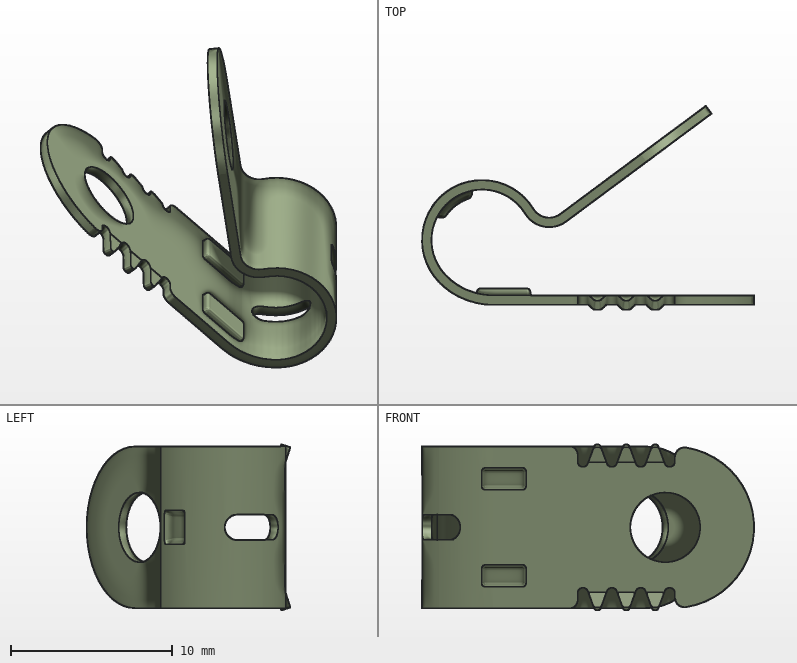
import cadquery as cq
import math


thickness = 0.6
width = 10.0
end_radius = width / 2
total_length = 20.52

loop_radius = 3.71
heel_radius = 4.65
heel_angle = 224.0
heel_step = heel_radius - loop_radius
loop_x = loop_radius
loop_y = heel_radius + heel_step * math.sin(math.radians(heel_angle))
heel_x = loop_x - heel_step * math.cos(math.radians(heel_angle))
heel_y = heel_radius

bend_radius = 1.15
bend_angle = 31.5
flap_slope = 36.6
flap_straight = 6.2
bend_distance = loop_radius + bend_radius
bend_x = loop_x + bend_distance * math.cos(math.radians(bend_angle))
bend_y = loop_y + bend_distance * math.sin(math.radians(bend_angle))

hole_diameter = 4.3
hole_setback = 0.5

tooth_count = 3
tooth_pitch = 1.79
first_tooth_x = 10.83
tooth_flank_angle = 20.0
tooth_bend_angle = 18.0
tooth_bend_z = 4.02
tooth_tip_radius = 0.2
notch_radius = 0.33
notch_center_z = 4.06
notch_left_fillet = 0.5
notch_right_fillet = 0.6

slot_width = 1.55
slot_upper_angle = 196.0
slot_lower_angle = 234.6
slot_cut_inner = 1.65
slot_cut_outer = 5.34

emboss_depth = 0.43
emboss_growth = 0.3
emboss_corner = 0.25
pad_taper = 10.0
pad_round = 0.25
pocket_taper = 23.0
pocket_round = 0.16
foot_emboss_length = 2.77
foot_emboss_width = 1.37
foot_emboss_x = 5.05
foot_emboss_z = 3.0
loop_emboss_length = 2.13
loop_emboss_width = 2.1
loop_emboss_angle = 127.0
loop_emboss_round = 0.4


def on_circle(center_x, center_y, radius, degrees):
    """Point on a circle at a given angle."""
    angle = math.radians(degrees)
    return (center_x + radius * math.cos(angle), center_y + radius * math.sin(angle))


def band(center_x, center_y, outer, inner, start, end):
    """Curved strip of sheet over the full width, between two angles."""
    middle = (start + end) / 2
    return (
        cq.Workplane("XY", origin=(0, 0, -width / 2))
        .moveTo(*on_circle(center_x, center_y, outer, start))
        .threePointArc(
            on_circle(center_x, center_y, outer, middle),
            on_circle(center_x, center_y, outer, end),
        )
        .lineTo(*on_circle(center_x, center_y, inner, end))
        .threePointArc(
            on_circle(center_x, center_y, inner, middle),
            on_circle(center_x, center_y, inner, start),
        )
        .close()
        .extrude(width)
    )


def plate(straight):
    """Flat plate from X = 0 with a rounded end and a hole, filling Y = 0 to thickness."""
    half = width / 2
    blank = (
        cq.Workplane("XZ")
        .moveTo(0, -half)
        .lineTo(straight, -half)
        .threePointArc((straight + end_radius, 0), (straight, half))
        .lineTo(0, half)
        .close()
        .extrude(-thickness)
    )
    hole = (
        cq.Workplane("XZ")
        .center(straight - hole_setback, 0)
        .circle(hole_diameter / 2)
        .extrude(-thickness)
    )
    return blank.cut(hole)


flank = math.radians(tooth_flank_angle)
notch_half_at_bend = notch_radius / math.cos(flank) + (tooth_bend_z - notch_center_z) * math.tan(flank)
tooth_half = tooth_pitch / 2 - notch_half_at_bend
tooth_length = width / 2 - tooth_bend_z
flank_apex = tooth_half / math.tan(flank)
notch_left = first_tooth_x - tooth_pitch / 2 - notch_radius
notch_right = first_tooth_x + (tooth_count - 0.5) * tooth_pitch + notch_radius


def notch_cutter():
    """Material removed from the +Z edge of the foot, leaving only the tooth roots."""
    above = width / 2 + 0.2
    touch_x = notch_radius * math.cos(flank)
    touch_z = notch_center_z - notch_radius * math.sin(flank)
    bottom_z = notch_center_z - notch_radius
    outline = cq.Workplane("XZ").moveTo(notch_left, above).lineTo(notch_left, notch_center_z)
    for index in range(tooth_count):
        tooth_x = first_tooth_x + index * tooth_pitch
        notch_x = tooth_x - tooth_pitch / 2
        next_notch_x = tooth_x + tooth_pitch / 2
        outline = (
            outline.threePointArc((notch_x, bottom_z), (notch_x + touch_x, touch_z))
            .lineTo(tooth_x - tooth_half, tooth_bend_z)
            .lineTo(tooth_x + tooth_half, tooth_bend_z)
            .lineTo(next_notch_x - touch_x, touch_z)
        )
    last_notch_x = notch_right - notch_radius
    return (
        outline.threePointArc((last_notch_x, bottom_z), (notch_right, notch_center_z))
        .lineTo(notch_right, above)
        .close()
        .extrude(-thickness)
    )


def tooth(center_x):
    """Pointed tooth on the +Z edge: bent sheet trimmed to a point by flanks parallel to Y."""
    outline = (
        cq.Workplane("XZ")
        .polyline([(-tooth_half, 0), (0, flank_apex), (tooth_half, 0)])
        .close()
        .extrude(2 * thickness, both=True)
    )
    bend = math.radians(tooth_bend_angle)
    front_tip = (-tooth_length * math.sin(bend), tooth_length * math.cos(bend))
    back_tip = (front_tip[0] + thickness * math.cos(bend), front_tip[1] + thickness * math.sin(bend))
    bent_sheet = (
        cq.Workplane("YZ")
        .polyline([
            (0, 0),
            front_tip,
            back_tip,
            (thickness, thickness * math.tan(bend / 2)),
            (thickness, 0),
        ])
        .close()
        .extrude(tooth_half, both=True)
    )
    point = bent_sheet.intersect(outline)
    tip_y = (front_tip[0] + back_tip[0]) / 2
    tip_z = (front_tip[1] + back_tip[1]) / 2
    for side in (-1, 1):
        tip_edge = (side * tooth_half / 2, tip_y, tip_z)
        point = point.edges(cq.NearestToPointSelector(tip_edge)).fillet(tooth_tip_radius)
    return point.translate((center_x, 0, tooth_bend_z))


def mirrored(solid):
    """The same shape on the other side of the mid plane."""
    return solid.mirror("XY")


def pressed_block(length, height, taper, inner_round):
    """Rounded block rising in +Y from Y = 0, with drafted walls and a rounded top border."""
    return (
        cq.Workplane("XZ")
        .sketch()
        .rect(length, height)
        .vertices()
        .fillet(emboss_corner)
        .finalize()
        .extrude(-emboss_depth, taper=taper)
        .faces(">Y")
        .edges()
        .fillet(inner_round)
    )


def foot():
    """Flat foot with toothed edges and a screw hole."""
    body = plate(total_length - end_radius - heel_x).translate((heel_x, 0, 0))
    cutter = notch_cutter()
    body = body.cut(cutter).cut(mirrored(cutter))
    for side in (-1, 1):
        for corner_x, radius in ((notch_left, notch_left_fillet), (notch_right, notch_right_fillet)):
            corner = (corner_x, thickness / 2, side * width / 2)
            body = body.edges("|Y").edges(cq.NearestToPointSelector(corner)).fillet(radius)
    for index in range(tooth_count):
        point = tooth(first_tooth_x + index * tooth_pitch)
        body = body.union(point).union(mirrored(point))
    return body


def flap():
    """Sloping flap, with its upper face leaving the reverse bend tangentially."""
    start = on_circle(bend_x, bend_y, bend_radius, flap_slope - 90)
    return (
        plate(flap_straight)
        .translate((0, -thickness, 0))
        .rotate((0, 0, 0), (0, 0, 1), flap_slope)
        .translate((start[0], start[1], 0))
    )


def loop_slot():
    """Cutter for the slot that follows the loop wall."""
    upper_inner = on_circle(loop_x, loop_y, slot_cut_inner, slot_upper_angle)
    upper_outer = on_circle(loop_x, loop_y, slot_cut_outer, slot_upper_angle)
    lower_inner = on_circle(heel_x, heel_y, slot_cut_inner + heel_step, slot_lower_angle)
    lower_outer = on_circle(heel_x, heel_y, slot_cut_outer + heel_step, slot_lower_angle)
    cutter = (
        cq.Workplane("XY")
        .polyline([upper_inner, upper_outer, lower_outer, lower_inner])
        .close()
        .extrude(slot_width / 2, both=True)
    )
    for inner, outer in ((upper_inner, upper_outer), (lower_inner, lower_outer)):
        axis = cq.Vector(outer[0] - inner[0], outer[1] - inner[1], 0)
        end = cq.Solid.makeCylinder(slot_width / 2, axis.Length, cq.Vector(*inner, 0), axis)
        cutter = cutter.union(cq.Workplane(end))
    return cutter


def add_foot_emboss(body, center_z):
    """Rib across the start of the foot: a pocket outside, a raised pad inside."""
    grown_length = foot_emboss_length + 2 * emboss_growth
    grown_width = foot_emboss_width + 2 * emboss_growth
    pad = pressed_block(grown_length, grown_width, pad_taper, pad_round)
    pocket = pressed_block(foot_emboss_length, foot_emboss_width, pocket_taper, pocket_round)
    body = body.union(pad.translate((foot_emboss_x, thickness, center_z)))
    return body.cut(pocket.translate((foot_emboss_x, 0, center_z)))


def loop_emboss_block(length, height, outer):
    """Curved block along the loop, reaching in from a given radius, with a rounded inner border."""
    half_angle = math.degrees(length / 2 / outer)
    sector = band(
        loop_x,
        loop_y,
        outer,
        outer - emboss_depth,
        loop_emboss_angle - half_angle,
        loop_emboss_angle + half_angle,
    )
    loop_size = 2 * loop_radius
    middle = cq.Workplane("XY").box(loop_size, loop_size, height).translate((loop_x, loop_y, 0))
    inner_point = on_circle(loop_x, loop_y, outer - emboss_depth, loop_emboss_angle)
    block = sector.intersect(middle)
    return (
        block.edges("#Z")
        .edges("%LINE")
        .fillet(emboss_corner)
        .faces(cq.NearestToPointSelector((inner_point[0], inner_point[1], 0)))
        .edges()
        .fillet(loop_emboss_round)
    )


def add_loop_emboss(body):
    """Rib on the far side of the loop: a pocket outside, a raised pad inside."""
    grown_length = loop_emboss_length + 2 * emboss_growth
    grown_width = loop_emboss_width + 2 * emboss_growth
    pad = loop_emboss_block(grown_length, grown_width, loop_radius - thickness)
    pocket = loop_emboss_block(loop_emboss_length, loop_emboss_width, loop_radius)
    return body.union(pad).cut(pocket)


heel = band(heel_x, heel_y, heel_radius, heel_radius - thickness, heel_angle, 270)
loop = band(loop_x, loop_y, loop_radius, loop_radius - thickness, bend_angle, heel_angle)
reverse_bend = band(
    bend_x, bend_y, bend_radius + thickness, bend_radius, bend_angle + 180, flap_slope + 270
)

clamp = foot().union(heel).union(loop).union(reverse_bend).union(flap())
clamp = clamp.cut(loop_slot())
for emboss_z in (-foot_emboss_z, foot_emboss_z):
    clamp = add_foot_emboss(clamp, emboss_z)
result = add_loop_emboss(clamp)